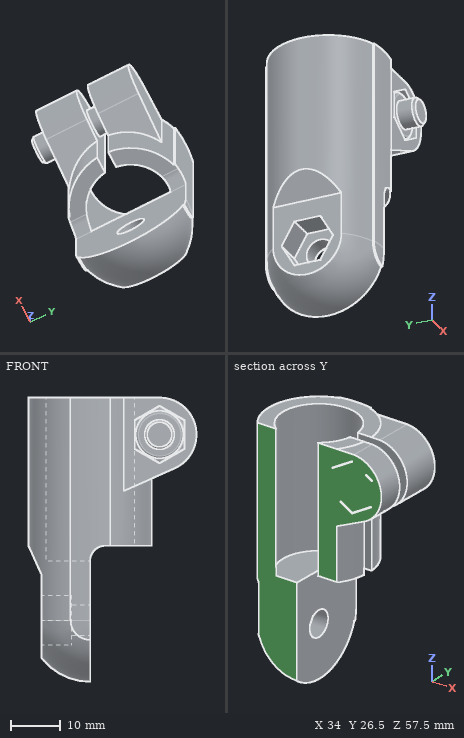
import cadquery as cq
import math


tube_radius = 12.5
bore_radius = 9.0
tube_top = 45.0
step_z = 15.0
step_fillet = 3.0
bore_floor = step_z - step_fillet

strip_half_width = 4.0
strip_edge_y = 12.15
strip_rise = tube_radius - strip_edge_y
strip_crown_radius = (strip_half_width**2 + strip_rise**2) / (2 * strip_rise)
strip_root_y = 10.0

flat_x = -9.88
flat_bottom = -tube_radius
ramp_bottom = 9.2
ramp_top = step_z
pivot_hole_dia = 6.1
pivot_hex_flats = 10.0
pivot_hex_depth = 6.0

bolt_x = 14.0
lug_radius = 7.5
bolt_z = tube_top - lug_radius
lug_half_width = 10.5
lug_root_x = math.sqrt(tube_radius**2 - lug_half_width**2)
lug_root_z = 26.1
lug_top = tube_top - 0.01
lug_arc_start_x = bolt_x + math.sqrt(lug_radius**2 - (lug_top - bolt_z)**2)
clamp_gap = 2.5

bolt_dia = 6.0
bolt_tip_y = -14.02
bolt_tip_inset = 0.5
bolt_tip_length = 0.62
nut_pocket_flats = 10.1
nut_flats = 10.0
nut_turn = 30.0
nut_height = 6.0
nut_face_y = -10.0
nut_seat_y = nut_face_y + nut_height
nut_hex_height = 4.3
nut_chamfer_dia = 9.88
nut_chamfer_angle = 15.0
collar_dia = 9.6
collar_fillet = 0.5


def hexagon(plane, flats, rotation=0):
    """Closed hexagonal wire in the plane, turned by the given angle in degrees."""
    across_corners = flats / math.cos(math.pi / 6)
    return cq.Workplane(plane).transformed(rotate=(0, 0, rotation)).polygon(6, across_corners)


def y_plane(y):
    """Plane normal to -Y, centred on the bolt axis."""
    return cq.Plane(origin=(bolt_x, y, bolt_z), xDir=(1, 0, 0), normal=(0, -1, 0))


def make_body():
    tube = cq.Workplane("XY").circle(tube_radius).extrude(tube_top)
    dome = cq.Workplane("XY").sphere(tube_radius)
    return tube.union(dome)


def make_strip():
    """Crowned strip on the -Y side: a straight run ending in a round cap about the Z = 0 level."""
    crown_y = -tube_radius
    run = (
        cq.Workplane("XY")
        .moveTo(-strip_half_width, -strip_root_y)
        .lineTo(-strip_half_width, -strip_edge_y)
        .threePointArc((0, crown_y), (strip_half_width, -strip_edge_y))
        .lineTo(strip_half_width, -strip_root_y)
        .close()
        .extrude(tube_top)
    )
    cap_blank = cq.Workplane("XZ", origin=(0, -strip_root_y, 0)).circle(strip_half_width)
    cap_blank = cap_blank.extrude(tube_radius - strip_root_y)
    crown = cq.Workplane("XY", origin=(0, crown_y + strip_crown_radius, 0)).sphere(strip_crown_radius)
    return run.union(cap_blank.intersect(crown))


def make_lug():
    """Ear around the bolt, its sloping underside tangent to the round end."""
    dx = lug_root_x - bolt_x
    dz = lug_root_z - bolt_z
    tangent_angle = math.atan2(dz, dx) + math.acos(lug_radius / math.hypot(dx, dz))
    tangent_x = bolt_x + lug_radius * math.cos(tangent_angle)
    tangent_z = bolt_z + lug_radius * math.sin(tangent_angle)
    return (
        cq.Workplane("XZ", origin=(0, lug_half_width, 0))
        .moveTo(lug_root_x, lug_top)
        .lineTo(lug_arc_start_x, lug_top)
        .threePointArc((bolt_x + lug_radius, bolt_z), (tangent_x, tangent_z))
        .lineTo(lug_root_x, lug_root_z)
        .close()
        .extrude(2 * lug_half_width)
    )


def cut_lower_half(body):
    """Remove the +X half below the step, with a rounded inner corner."""
    reach = 2 * tube_radius
    cutter = (
        cq.Workplane("XZ", origin=(0, tube_radius, 0))
        .moveTo(0, -reach)
        .lineTo(0, bore_floor)
        .radiusArc((step_fillet, step_z), step_fillet)
        .lineTo(reach, step_z)
        .lineTo(reach, -reach)
        .close()
        .extrude(2 * tube_radius)
    )
    return body.cut(cutter)


def cut_bore_and_gap(body):
    bore = cq.Workplane("XY", origin=(0, 0, bore_floor)).circle(bore_radius).extrude(tube_top - bore_floor)
    gap_length = bolt_x + lug_radius
    gap = cq.Workplane("XY", origin=(0, 0, bore_floor)).rect(gap_length, clamp_gap).extrude(tube_top - bore_floor)
    return body.cut(bore).cut(gap.translate((gap_length / 2, 0, 0)))


def cut_pivot(body):
    """Flat with a ramp above it, a through hole and a hexagonal recess on the -X side."""
    flat = (
        cq.Workplane("XZ", origin=(0, tube_radius, 0))
        .moveTo(-tube_radius, flat_bottom)
        .lineTo(flat_x, flat_bottom)
        .lineTo(flat_x, ramp_bottom)
        .lineTo(-tube_radius, ramp_top)
        .close()
        .extrude(2 * tube_radius)
    )
    hole = cq.Workplane("YZ").circle(pivot_hole_dia / 2).extrude(-tube_radius)
    recess_plane = cq.Plane(origin=(flat_x, 0, 0), xDir=(0, 1, 0), normal=(1, 0, 0))
    recess = hexagon(recess_plane, pivot_hex_flats).extrude(pivot_hex_depth)
    return body.cut(flat).cut(hole).cut(recess)


def cut_nut_pocket(body):
    depth = lug_half_width + nut_seat_y
    return body.cut(hexagon(y_plane(nut_seat_y), nut_pocket_flats, nut_turn).extrude(depth))


def make_bolt():
    length = lug_half_width - bolt_tip_y
    shank = cq.Workplane(y_plane(lug_half_width)).circle(bolt_dia / 2).extrude(length)
    return shank.faces("<Y").chamfer(bolt_tip_length, bolt_tip_inset)


def make_nut():
    """Lock nut: chamfered hexagon with a round collar."""
    hexagon_part = hexagon(y_plane(nut_seat_y), nut_flats, nut_turn).extrude(nut_hex_height)
    corner_radius = nut_flats / 2 / math.cos(math.pi / 6)
    top_radius = nut_chamfer_dia / 2
    chamfer_height = (corner_radius - top_radius) * math.tan(math.radians(nut_chamfer_angle))
    envelope = (
        cq.Workplane(y_plane(nut_seat_y))
        .circle(corner_radius)
        .extrude(nut_hex_height)
        .faces("<Y")
        .chamfer(chamfer_height, corner_radius - top_radius)
    )
    collar = cq.Workplane(y_plane(nut_seat_y)).circle(collar_dia / 2).extrude(nut_height)
    collar = collar.faces("<Y").edges().fillet(collar_fillet)
    return hexagon_part.intersect(envelope).union(collar)


strip = make_strip()
body = make_body().union(strip).union(strip.mirror("XZ")).union(make_lug())
body = cut_lower_half(body)
body = cut_bore_and_gap(body)
body = cut_pivot(body)
body = cut_nut_pocket(body)
body = body.union(make_bolt()).union(make_nut())
result = body.solids()